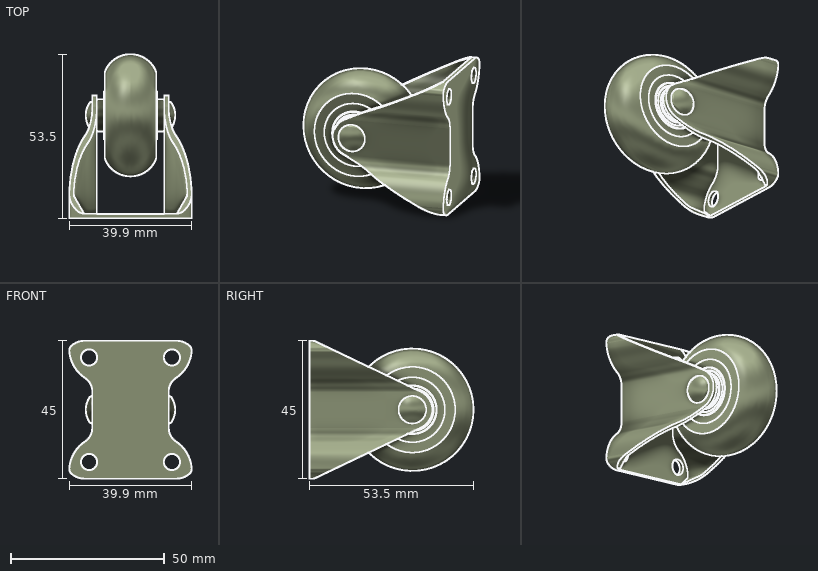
import cadquery as cq
import math


SHEET = 1.5
PLATE_BACK_Y = -33.55
PLATE_FRONT_Y = PLATE_BACK_Y + SHEET
PLATE_HEIGHT = 45.0
WAIST_X = 12.45
WAIST_Z = 6.0
INFLECTION = (14.75, 10.25)
EAR_SIDE = (19.95, 18.9)
EAR_CORNER = (19.1, 20.95)
EAR_TOP = (15.1, PLATE_HEIGHT / 2)
WALL_BEND = (18.2, 19.9)
FORK_END_RADIUS = 6.45
HOLE_X = 13.5
HOLE_Z = 17.0
HOLE_DIAMETER = 5.2

AXLE_RADIUS = 4.0
HEAD_RADIUS = 4.5
HEAD_ROUND_LENGTH = 0.9
DOME_RADIUS = 4.0

WHEEL_HALF_WIDTH = 8.45
TYRE_RADIUS = 19.95
TYRE_SIDE_RADIUS = 13.95
HUB_RADIUS = 10.6

BEARING_RADIUS = 7.95
BEARING_WIDTH = 5.0
BEARING_FACE_X = 8.65
BEARING_INNER_X = BEARING_FACE_X - BEARING_WIDTH
RACE_JOINT_RADIUS = 6.75
OUTER_RACE_CHAMFER = 0.2
INNER_RACE_CHAMFER = 0.8

SPACER_RADIUS = 5.3
SPACER_END_X = WAIST_X - SHEET
SPACER_FILLET = 0.5

OUTERMOST = cq.selectors.RadiusNthSelector(-1)


def mirror_z(point):
    """Mirror a point in its second coordinate, Z."""
    return (point[0], -point[1])


def heading(start, end, start_heading):
    """Direction, as an angle from +Z towards +X, at the end of an arc leaving start at start_heading."""
    chord = math.atan2(end[0] - start[0], end[1] - start[1])
    return 2 * chord - start_heading


def inward(point, direction):
    """Point one sheet thickness inside the outline, which runs along direction at the given point."""
    return (point[0] - SHEET * math.cos(direction), point[1] + SHEET * math.sin(direction))


def midpoint_on_arc(start, end, start_heading):
    """Middle of the arc that leaves start along start_heading and ends at end."""
    dx = end[0] - start[0]
    dz = end[1] - start[1]
    chord_angle = math.atan2(dx, dz)
    rise = math.hypot(dx, dz) / 2 * math.tan((chord_angle - start_heading) / 2)
    return (
        (start[0] + end[0]) / 2 - rise * math.cos(chord_angle),
        (start[1] + end[1]) / 2 + rise * math.sin(chord_angle),
    )


def tangent_chain(points):
    """Arcs (start, middle, end) through the points: the first leaves along +Z, the rest are tangent."""
    arcs = []
    direction = 0.0
    for start, end in zip(points, points[1:]):
        arcs.append((start, midpoint_on_arc(start, end, direction), end))
        direction = heading(start, end, direction)
    return arcs


def draw_up(sketch, arcs):
    """Continue a sketch along the arcs, from their first start to their last end."""
    for _, middle, end in arcs:
        sketch = sketch.threePointArc(middle, end)
    return sketch


def draw_down(sketch, arcs):
    """Continue a sketch along the arcs backwards."""
    for start, middle, _ in reversed(arcs):
        sketch = sketch.threePointArc(middle, start)
    return sketch


def mirrored(arcs, sign_x, sign_z):
    """Arcs in another quarter; a sign of -1 flips that axis."""
    return [tuple((sign_x * x, sign_z * z) for x, z in arc) for arc in arcs]


def outer_arcs():
    """Curved quarter of the plate outline, from the waist to the ear top on the +X +Z side."""
    return tangent_chain([(WAIST_X, WAIST_Z), INFLECTION, EAR_SIDE, EAR_CORNER, EAR_TOP])


def inner_arcs():
    """Inner face of the wall on the +X +Z side, parallel to the outline up to the ear side."""
    waist = (WAIST_X, WAIST_Z)
    inflection_heading = heading(waist, INFLECTION, 0.0)
    ear_heading = heading(INFLECTION, EAR_SIDE, inflection_heading)
    return tangent_chain([
        inward(waist, 0.0),
        inward(INFLECTION, inflection_heading),
        inward(EAR_SIDE, ear_heading),
        WALL_BEND,
    ])


def extrude_y(sketch, y_from, y_to):
    """Extrude a closed XZ outline between two Y positions."""
    return sketch.close().extrude(-(y_to - y_from)).translate((0, y_from, 0))


def make_plate():
    """Mounting plate with four corner ears and a screw hole in each."""
    arcs = outer_arcs()
    sketch = cq.Workplane("XZ").moveTo(WAIST_X, -WAIST_Z).lineTo(WAIST_X, WAIST_Z)
    sketch = draw_up(sketch, arcs).lineTo(-EAR_TOP[0], EAR_TOP[1])
    sketch = draw_down(sketch, mirrored(arcs, -1, 1)).lineTo(-WAIST_X, -WAIST_Z)
    sketch = draw_up(sketch, mirrored(arcs, -1, -1)).lineTo(*mirror_z(EAR_TOP))
    sketch = draw_down(sketch, mirrored(arcs, 1, -1))
    plate = extrude_y(sketch, PLATE_BACK_Y, PLATE_FRONT_Y)
    holes = (
        cq.Workplane("XZ", origin=(0, PLATE_BACK_Y, 0))
        .rect(2 * HOLE_X, 2 * HOLE_Z, forConstruction=True)
        .vertices()
        .circle(HOLE_DIAMETER / 2)
        .extrude(-SHEET)
    )
    return plate.cut(holes)


def make_wall():
    """Side wall on the +X side, before its taper is cut."""
    outer = outer_arcs()
    inner = inner_arcs()
    inner_waist_x = WAIST_X - SHEET
    sketch = cq.Workplane("XZ").moveTo(WAIST_X, -WAIST_Z).lineTo(WAIST_X, WAIST_Z)
    sketch = draw_up(sketch, outer).lineTo(*WALL_BEND)
    sketch = draw_down(sketch, inner).lineTo(inner_waist_x, -WAIST_Z)
    sketch = draw_up(sketch, mirrored(inner, 1, -1)).lineTo(*mirror_z(EAR_TOP))
    sketch = draw_down(sketch, mirrored(outer, 1, -1))
    return extrude_y(sketch, PLATE_BACK_Y, FORK_END_RADIUS)


def make_taper():
    """Side shape of the walls: straight edges from the plate corners, tangent to the round fork end."""
    half_height = PLATE_HEIGHT / 2
    corner_angle = math.atan2(half_height, PLATE_FRONT_Y)
    corner_distance = math.hypot(half_height, PLATE_FRONT_Y)
    tangent_angle = corner_angle - math.acos(FORK_END_RADIUS / corner_distance)
    tangent = (FORK_END_RADIUS * math.cos(tangent_angle), FORK_END_RADIUS * math.sin(tangent_angle))
    return (
        cq.Workplane("YZ")
        .moveTo(PLATE_BACK_Y, -half_height)
        .lineTo(PLATE_FRONT_Y, -half_height)
        .lineTo(*mirror_z(tangent))
        .threePointArc((FORK_END_RADIUS, 0), tangent)
        .lineTo(PLATE_FRONT_Y, half_height)
        .lineTo(PLATE_BACK_Y, half_height)
        .close()
        .extrude(EAR_SIDE[0] + SHEET, both=True)
    )


def make_fork():
    """Plate and two mirrored side walls in one piece, drilled for the axle."""
    wall = make_wall().intersect(make_taper())
    axle_hole = cq.Workplane("YZ").circle(AXLE_RADIUS).extrude(WAIST_X, both=True)
    return make_plate().union(wall).union(wall.mirror("YZ")).cut(axle_hole)


def ring(outer_radius, bore_radius, x_from, x_to):
    """Plain ring around the X axis."""
    return (
        cq.Workplane("YZ", origin=(x_from, 0, 0))
        .circle(outer_radius)
        .circle(bore_radius)
        .extrude(x_to - x_from)
    )


def make_axle():
    """Rivet whose heads have a rounded rim that runs tangent into a spherical dome."""
    rim_slope = 2 * math.atan2(HEAD_RADIUS - DOME_RADIUS, HEAD_ROUND_LENGTH)
    rim_round = HEAD_ROUND_LENGTH / math.sin(rim_slope)
    rim_end_x = WAIST_X + HEAD_ROUND_LENGTH
    rim_middle = (
        WAIST_X + rim_round * math.sin(rim_slope / 2),
        HEAD_RADIUS - rim_round * (1 - math.cos(rim_slope / 2)),
    )
    dome_half_angle = (math.pi / 2 - rim_slope) / 2
    dome_tip_x = rim_end_x + DOME_RADIUS * math.tan(dome_half_angle)
    sphere_radius = DOME_RADIUS / math.cos(rim_slope)
    dome_middle = (
        dome_tip_x - sphere_radius * (1 - math.cos(dome_half_angle)),
        sphere_radius * math.sin(dome_half_angle),
    )
    half = (
        cq.Workplane("XY")
        .lineTo(0, AXLE_RADIUS)
        .lineTo(WAIST_X, AXLE_RADIUS)
        .lineTo(WAIST_X, HEAD_RADIUS)
        .threePointArc(rim_middle, (rim_end_x, DOME_RADIUS))
        .threePointArc(dome_middle, (dome_tip_x, 0))
        .close()
        .revolve(360, (0, 0, 0), (1, 0, 0))
    )
    return half.union(half.mirror("YZ"))


def make_tyre():
    """Rounded tread of two circular arcs that meet tangent at the middle of the wheel."""
    drop = TYRE_RADIUS - TYRE_SIDE_RADIUS
    tread_radius = (WHEEL_HALF_WIDTH**2 + drop**2) / (2 * drop)
    half_angle = math.asin(WHEEL_HALF_WIDTH / tread_radius) / 2
    middle_x = tread_radius * math.sin(half_angle)
    middle_y = TYRE_RADIUS - tread_radius * (1 - math.cos(half_angle))
    return (
        cq.Workplane("XY")
        .moveTo(-WHEEL_HALF_WIDTH, HUB_RADIUS)
        .lineTo(-WHEEL_HALF_WIDTH, TYRE_SIDE_RADIUS)
        .threePointArc((-middle_x, middle_y), (0, TYRE_RADIUS))
        .threePointArc((middle_x, middle_y), (WHEEL_HALF_WIDTH, TYRE_SIDE_RADIUS))
        .lineTo(WHEEL_HALF_WIDTH, HUB_RADIUS)
        .close()
        .revolve(360, (0, 0, 0), (1, 0, 0))
    )


def make_hub():
    """Wheel core with a bearing seat at each end."""
    hub = ring(HUB_RADIUS, AXLE_RADIUS, -WHEEL_HALF_WIDTH, WHEEL_HALF_WIDTH)
    seat = cq.Workplane("YZ", origin=(BEARING_INNER_X, 0, 0)).circle(BEARING_RADIUS).extrude(BEARING_WIDTH)
    return hub.cut(seat).cut(seat.mirror("YZ"))


def make_outer_race():
    """Outer ring of the +X bearing, standing slightly proud of the hub."""
    race = ring(BEARING_RADIUS, RACE_JOINT_RADIUS, BEARING_INNER_X, BEARING_FACE_X)
    return race.faces(">X").edges().chamfer(OUTER_RACE_CHAMFER)


def make_inner_race():
    """Inner ring of the +X bearing; its sloping edge leaves a groove against the outer race."""
    race = ring(RACE_JOINT_RADIUS, AXLE_RADIUS, BEARING_INNER_X, BEARING_FACE_X)
    return race.faces(">X").edges(OUTERMOST).chamfer(INNER_RACE_CHAMFER)


def make_spacer():
    """Sleeve with a rounded outer edge towards the fork wall."""
    spacer = ring(SPACER_RADIUS, AXLE_RADIUS, BEARING_FACE_X, SPACER_END_X)
    return spacer.faces(">X").edges(OUTERMOST).fillet(SPACER_FILLET)


fork = make_fork().solids()
axle = make_axle().solids()
tyre = make_tyre().solids()
hub = make_hub().solids()

side_bodies = []
for make_side_body in (make_outer_race, make_inner_race, make_spacer):
    side_body = make_side_body().solids()
    side_bodies += [side_body.val(), side_body.mirror("YZ").val()]

result = cq.Compound.makeCompound([fork.val(), axle.val(), tyre.val(), hub.val(), *side_bodies])